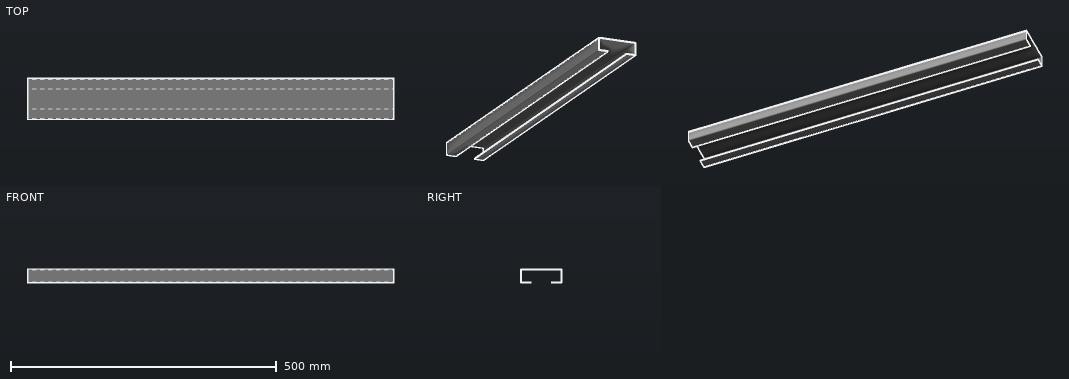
import cadquery as cq

length = 690.0
width = 78.0
height = 26.0

sheet = 2.0
inner_bend_radius = 0.15
outer_bend_radius = inner_bend_radius + sheet
lip_gap = 38.0

envelope = (
    cq.Workplane("XY")
    .box(length, width, height)
    .edges("|X")
    .fillet(outer_bend_radius)
)

hollow = (
    cq.Workplane("XY")
    .box(length, width - 2 * sheet, height - 2 * sheet)
    .edges("|X")
    .fillet(inner_bend_radius)
)

opening = cq.Workplane("XY").box(length, lip_gap, height / 2).translate((0, 0, -height / 4))

result = envelope.cut(hollow).cut(opening)